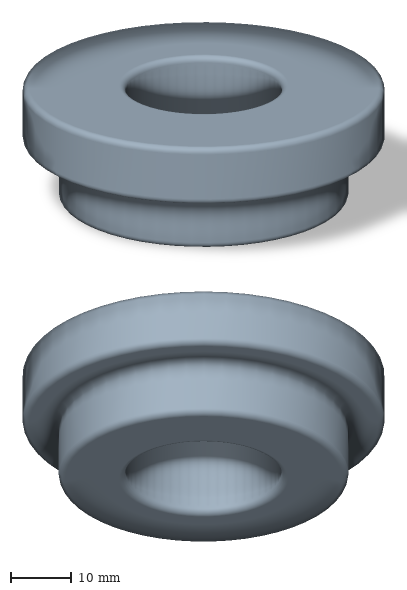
import cadquery as cq

flange_diameter = 60.0
hub_diameter = 48.0
bore_diameter = 26.0
total_height = 20.0
hub_height = total_height / 2
edge_radius = 1.0

flange_radius = flange_diameter / 2
hub_radius = hub_diameter / 2
bore_radius = bore_diameter / 2

section = (
    cq.Workplane("XZ")
    .moveTo(bore_radius, 0)
    .lineTo(hub_radius, 0)
    .lineTo(hub_radius, hub_height)
    .lineTo(flange_radius, hub_height)
    .lineTo(flange_radius, total_height)
    .lineTo(bore_radius, total_height)
    .close()
)
body = section.revolve(360, (0, 0, 0), (0, 1, 0))

result = body.edges("%CIRCLE").fillet(edge_radius)